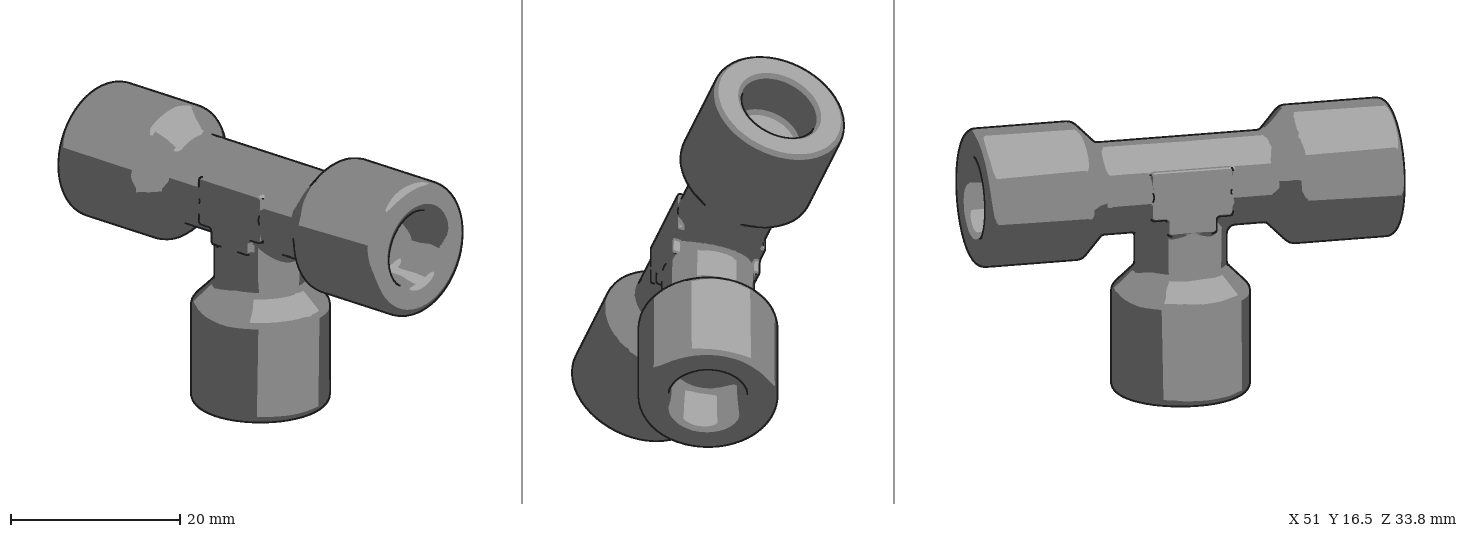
import cadquery as cq
branch_reach = 25.5
tube_diameter = 11.0
socket_diameter = 16.5
tube_radius = tube_diameter / 2
socket_radius = socket_diameter / 2

socket_length = 12.5
shoulder_length = socket_radius - tube_radius
edge_radius = 1.0

crotch_radius = 1.0

bore_depth = 6.0
bore_mouth_radius = 4.75
bore_floor_radius = 4.25

pad_half_width = 5.0
pad_half_height = 3.0
pad_stem_half_width = 3.0
pad_stem_bottom = -5.0
pad_corner_radius = 0.4
pad_edge_radius = 0.3
pad_foot_radius = 0.5

pick_margin = 0.1
touch_tolerance = 0.001
foot_least_depth = tube_radius / 2


def make_branch():
    """One branch along -Z: solid tube, shoulder and socket with rounded edges."""
    shoulder_start = -branch_reach + socket_length
    outline = [
        (0, 0),
        (tube_radius, 0),
        (tube_radius, shoulder_start + shoulder_length),
        (socket_radius, shoulder_start),
        (socket_radius, -branch_reach),
        (0, -branch_reach),
    ]
    branch = cq.Workplane("XZ").polyline(outline).close().revolve(360, (0, 0), (0, 1))
    ring_edges = branch.faces("%CONE").edges("%CIRCLE").add(branch.faces("<Z").edges())
    return ring_edges.fillet(edge_radius)


def make_bore():
    """Tapered blind bore of the -Z branch, with a rounded floor and a flared mouth."""
    floor = -branch_reach + bore_depth
    outline = [
        (0, floor),
        (bore_floor_radius, floor),
        (bore_mouth_radius, -branch_reach),
        (0, -branch_reach),
    ]
    bore = cq.Workplane("XZ").polyline(outline).close().revolve(360, (0, 0), (0, 1))
    return bore.faces(">Z").edges().fillet(edge_radius)


def place_on_branches(body):
    """Copies of a -Z body on the -Z, -X and +X branches."""
    return [body.rotate((0, 0, 0), (0, 1, 0), angle) for angle in (0, 90, -90)]


def make_tee():
    """The three branches joined, with the crotch between run and stem rounded."""
    down, left, right = place_on_branches(make_branch())
    tee = left.union(right).union(down)
    reach = tube_radius + pick_margin
    crotch = cq.selectors.BoxSelector((-reach, -reach, -reach), (reach, reach, pick_margin))
    return tee.edges(crotch).edges("not %CIRCLE").fillet(crotch_radius)


def make_pad():
    """T-shaped pad facing -Y."""
    outline = [
        (-pad_half_width, pad_half_height),
        (pad_half_width, pad_half_height),
        (pad_half_width, -pad_half_height),
        (pad_stem_half_width, -pad_half_height),
        (pad_stem_half_width, pad_stem_bottom),
        (-pad_stem_half_width, pad_stem_bottom),
        (-pad_stem_half_width, -pad_half_height),
        (-pad_half_width, -pad_half_height),
    ]
    pad = cq.Workplane("XZ").polyline(outline).close().extrude(tube_radius)
    pad = pad.edges("|Y").fillet(pad_corner_radius)
    return pad.faces("<Y").edges().fillet(pad_edge_radius)


def add_pads(tee):
    """Join a pad on the front and back of the tee and blend the lines where they rise from it."""
    pad = make_pad()
    joined = tee.union(pad).union(pad.mirror("XZ"))
    skin = tee.val().Shells()[0]

    def is_foot_edge(edge):
        box = edge.BoundingBox()
        middle = edge.positionAt(0.5)
        beside_pad = (
            abs(middle.y) > foot_least_depth
            and box.xmin > -pad_half_width - pick_margin
            and box.xmax < pad_half_width + pick_margin
            and box.zmin > pad_stem_bottom - pick_margin
            and box.zmax < pad_half_height + pick_margin
        )
        return beside_pad and cq.Vertex.makeVertex(*middle.toTuple()).distance(skin) < touch_tolerance

    return joined.edges().filter(is_foot_edge).fillet(pad_foot_radius)


def cut_bores(body):
    """Cut the bore of every branch and flare its mouth."""
    for bore in place_on_branches(make_bore()):
        body = body.cut(bore)
    end_faces = body.faces("<X or >X or <Z")
    mouths = end_faces.edges(cq.selectors.RadiusNthSelector(0))
    return mouths.fillet(edge_radius)


result = cut_bores(add_pads(make_tee()))